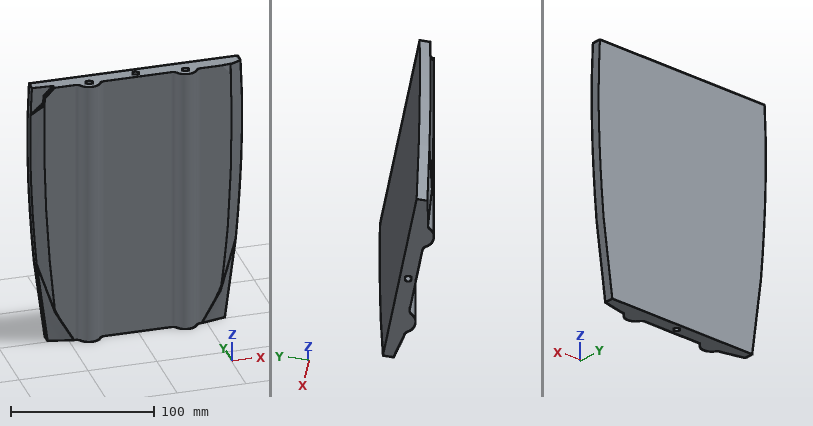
import cadquery as cq
import math

height = 200.0
total_depth = 17.5
rim_depth = 7.5
face_depth = 11.5

rim_bottom = (64.5, 0)
rim_lower = (72.5, 61.2)
rim_lower_mid = (74.5, 90.0)
rim_upper = (76.2, 120.0)
rim_upper_mid = (77.0, 160.0)
rim_top = (75.8, height)

face_bottom = (46.5, 0)
face_lower = (60.2, 24.0)
left_face_lower_mid = (66.5, 100.0)
left_face_break = (68.0, 186.8)
left_face_upper_mid = (67.8, 194.0)
right_face_lower_mid = (63.0, 48.0)
right_face_break = (65.5, 74.0)
right_face_upper_mid = (68.0, 140.0)
face_top = (67.5, height)

rib_offset = 35.0
rib_half_width = 10.5
crest_radius = 8.5
crest_center = total_depth - crest_radius
rib_rise = total_depth - face_depth
blend_radius = (rib_half_width**2 + (face_depth - crest_center) ** 2 - crest_radius**2) / (2 * rib_rise)

center_hole_diameter = 4.5
center_hole_depth = 6.0
rib_hole_diameter = 5.0
rib_hole_depth = 10.5
rib_hole_length = 40.0

corner_inner_x = 60.8
corner_drop = 7.0
shelf_inner_depth = 8.5
shelf_outer_x = 80.0
shelf_bottom = 178.8
shelf_step = 187.2
facet_depth = 0.8


def point(xz, depth, side):
    """Point at the given depth from the back, on the left (-1) or right (+1) half."""
    return cq.Vector(side * xz[0], -depth, xz[1])


def half_outline(depth, side, points):
    """Edges from bottom to top: one straight stretch followed by two arcs."""
    bottom, lower, lower_mid, upper, upper_mid, top = [point(p, depth, side) for p in points]
    return [
        cq.Edge.makeLine(bottom, lower),
        cq.Edge.makeThreePointArc(lower, lower_mid, upper),
        cq.Edge.makeThreePointArc(upper, upper_mid, top),
    ]


def closed_outline(depth, left, right):
    """Closed wire made from a left and a right half outline."""
    edges = half_outline(depth, -1, left) + half_outline(depth, 1, right)
    edges.append(cq.Edge.makeLine(point(left[0], depth, -1), point(right[0], depth, 1)))
    edges.append(cq.Edge.makeLine(point(left[-1], depth, -1), point(right[-1], depth, 1)))
    return cq.Wire.assembleEdges(cq.Wire.combine(edges)[0].Edges())


def make_plate():
    """Plate of constant rim thickness with a bevelled front."""
    rim = [rim_bottom, rim_lower, rim_lower_mid, rim_upper, rim_upper_mid, rim_top]
    left_face = [face_bottom, face_lower, left_face_lower_mid, left_face_break, left_face_upper_mid, face_top]
    right_face = [face_bottom, face_lower, right_face_lower_mid, right_face_break, right_face_upper_mid, face_top]
    back = closed_outline(0, rim, rim)
    base = cq.Solid.extrudeLinear(back, [], cq.Vector(0, -rim_depth, 0))
    bevel = cq.Solid.makeLoft(
        [closed_outline(rim_depth, rim, rim), closed_outline(face_depth, left_face, right_face)], True
    )
    return cq.Workplane(base).union(cq.Workplane(bevel))


def cut_left_corner(plate):
    """Tilted shelf cut into the top left corner, leaving an upright wall to the face."""
    tilt = (shelf_inner_depth - rim_depth) / (rim_top[0] - corner_inner_x)
    shelf_outer_depth = shelf_inner_depth - tilt * (shelf_outer_x - corner_inner_x)
    above_shelf = (
        cq.Workplane("XY")
        .polyline([
            (-corner_inner_x, -shelf_inner_depth),
            (-shelf_outer_x, -shelf_outer_depth),
            (-shelf_outer_x, -total_depth),
            (-corner_inner_x, -total_depth),
        ])
        .close()
        .extrude(height)
    )
    corner = (
        cq.Workplane("XZ")
        .polyline([
            (-corner_inner_x, height),
            (-face_top[0], height - corner_drop),
            (-left_face_break[0], shelf_step),
            (-rim_upper_mid[0], shelf_bottom),
            (-shelf_outer_x, shelf_bottom),
            (-shelf_outer_x, height),
        ])
        .close()
        .extrude(total_depth)
    )
    return plate.cut(above_shelf.intersect(corner))


def cut_right_corner(plate):
    """Shallow sloping facet across the top right corner of the face."""
    inner = point((corner_inner_x, height), face_depth, 1)
    lower = point((face_top[0], height - corner_drop), face_depth, 1)
    corner = point(face_top, face_depth, 1)
    sunk = point(face_top, face_depth - facet_depth, 1)
    triangles = [(inner, lower, corner), (inner, lower, sunk), (inner, corner, sunk), (lower, corner, sunk)]
    faces = [cq.Face.makeFromWires(cq.Wire.makePolygon(list(t), close=True)) for t in triangles]
    wedge = cq.Solid.makeSolid(cq.Shell.makeShell(faces))
    return plate.cut(cq.Workplane(wedge))


def make_rib(x):
    """Full-height rib on the front face, centred at x."""
    center_distance = crest_radius + blend_radius
    tangent_x = rib_half_width * crest_radius / center_distance
    blend_center = face_depth + blend_radius
    tangent_depth = crest_center + (blend_center - crest_center) * crest_radius / center_distance
    end_angle = math.atan2(blend_center - tangent_depth, rib_half_width - tangent_x)
    mid_angle = (end_angle + math.pi / 2) / 2
    mid_x = rib_half_width - blend_radius * math.cos(mid_angle)
    mid_depth = blend_center - blend_radius * math.sin(mid_angle)
    return (
        cq.Workplane("XY")
        .moveTo(x - rib_half_width, -face_depth)
        .threePointArc((x - mid_x, -mid_depth), (x - tangent_x, -tangent_depth))
        .threePointArc((x, -total_depth), (x + tangent_x, -tangent_depth))
        .threePointArc((x + mid_x, -mid_depth), (x + rib_half_width, -face_depth))
        .lineTo(x + rib_half_width, -rim_depth)
        .lineTo(x - rib_half_width, -rim_depth)
        .close()
        .extrude(height)
    )


def make_hole(x, depth, diameter, length):
    """Drill running down from the top edge."""
    return cq.Workplane("XY", origin=(x, -depth, height)).circle(diameter / 2).extrude(-length)


result = cut_right_corner(cut_left_corner(make_plate()))
for rib_x in (-rib_offset, rib_offset):
    result = result.union(make_rib(rib_x))
    result = result.cut(make_hole(rib_x, rib_hole_depth, rib_hole_diameter, rib_hole_length))
result = result.cut(make_hole(0, center_hole_depth, center_hole_diameter, height))